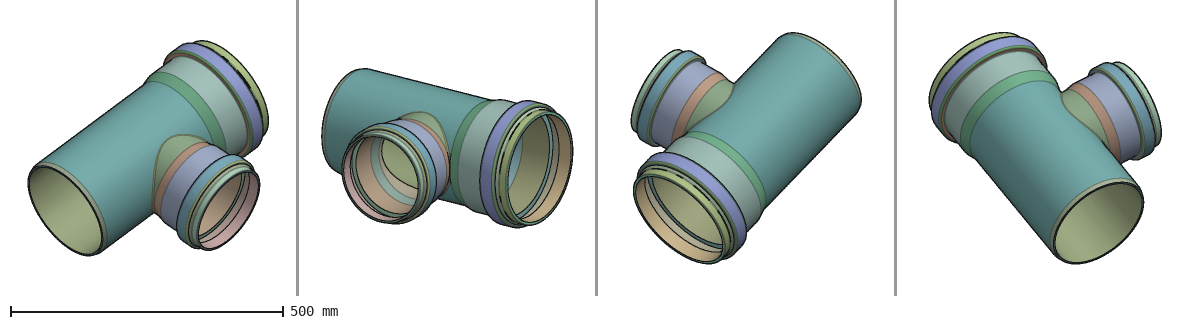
import cadquery as cq
pipe_diameter = 200.3
pipe_bore = 188.4
pipe_length = 421.0
spigot_chamfer_length = 8.5
spigot_chamfer_depth = 2.5

branch_diameter = 161.5
branch_bore = 150.5
branch_length = 211.0
branch_origin_y = 203.8
branch_lean = 2.5
joint_fillet = 2.5

collar_root_fillet = 1.0
rim_root_fillet = 2.4
mouth_fillet = 1.0
match_tolerance = 0.01

main_socket = {
    "tube": pipe_diameter,
    "tube_bore": pipe_bore,
    "sleeve": 212.7,
    "sleeve_bore": 201.5,
    "collar": 234.2,
    "groove": 223.0,
    "rim": 214.5,
    "rim_bore": 202.7,
    "taper_start": 289.5,
    "taper_end": 312.1,
    "collar_start": 367.0,
    "collar_end": 399.2,
    "collar_fillet": 4.0,
    "cone_base": 221.4,
    "rim_start": 405.5,
    "mouth": pipe_length,
}

branch_socket = {
    "tube": branch_diameter,
    "tube_bore": branch_bore,
    "sleeve": 170.5,
    "sleeve_bore": 161.5,
    "collar": 187.7,
    "groove": 179.4,
    "rim": 171.9,
    "rim_bore": 162.9,
    "taper_start": 100.9,
    "taper_end": 120.0,
    "collar_start": 166.0,
    "collar_end": 192.9,
    "collar_fillet": 3.0,
    "cone_base": 177.4,
    "rim_start": 199.0,
    "mouth": branch_length,
}


def revolve_profile(profile):
    """Revolve a closed (radius, station) profile about the Y axis."""
    return profile.close().revolve(360, (0, 0, 0), (0, 1, 0))


def round_ring(body, diameter, station, radius):
    """Fillet the circular edge of the given diameter that lies at a station along Y."""
    def is_ring(edge):
        return (
            edge.geomType() == "CIRCLE"
            and abs(edge.radius() - diameter / 2) < match_tolerance
            and abs(edge.Center().y - station) < match_tolerance
        )

    rings = [edge for edge in body.edges().vals() if is_ring(edge)]
    return body.newObject(rings).fillet(radius)


def outer_body(s, tube_profile):
    """Outside of a tube that ends in a collared socket; tube_profile starts at the tube end."""
    body = revolve_profile(
        tube_profile
        .lineTo(s["tube"] / 2, s["taper_start"])
        .lineTo(s["sleeve"] / 2, s["taper_end"])
        .lineTo(s["sleeve"] / 2, s["collar_start"])
        .lineTo(s["collar"] / 2, s["collar_start"])
        .lineTo(s["collar"] / 2, s["collar_end"])
        .lineTo(s["cone_base"] / 2, s["collar_end"])
        .lineTo(s["rim"] / 2, s["rim_start"])
        .lineTo(s["rim"] / 2, s["mouth"])
        .lineTo(0, s["mouth"])
    )
    body = round_ring(body, s["collar"], s["collar_start"], s["collar_fillet"])
    body = round_ring(body, s["collar"], s["collar_end"], s["collar_fillet"])
    body = round_ring(body, s["sleeve"], s["collar_start"], collar_root_fillet)
    body = round_ring(body, s["rim"], s["rim_start"], rim_root_fillet)
    return round_ring(body, s["rim"], s["mouth"], mouth_fillet)


def inner_cavity(s):
    """Bore of the tube, widened into the sleeve, the seal groove and the mouth."""
    collar_wall = (s["collar"] - s["groove"]) / 2
    groove_start = s["collar_start"] + collar_wall
    groove_end = s["collar_end"] - collar_wall
    return revolve_profile(
        cq.Workplane("XY")
        .moveTo(0, 0)
        .lineTo(s["tube_bore"] / 2, 0)
        .lineTo(s["tube_bore"] / 2, s["taper_start"])
        .lineTo(s["sleeve_bore"] / 2, s["taper_end"])
        .lineTo(s["sleeve_bore"] / 2, groove_start)
        .lineTo(s["groove"] / 2, groove_start)
        .lineTo(s["groove"] / 2, groove_end)
        .lineTo(s["rim_bore"] / 2, groove_end)
        .lineTo(s["rim_bore"] / 2, s["mouth"])
        .lineTo(0, s["mouth"])
    )


def place_branch(body):
    """Turn a body built along +Y to the branch direction and move it to the branch origin."""
    turn = branch_lean - 90
    return body.rotate((0, 0, 0), (0, 0, 1), turn).translate((0, branch_origin_y, 0))


def main_body():
    """Outside of the main pipe with its chamfered spigot."""
    tube_profile = (
        cq.Workplane("XY")
        .moveTo(0, 0)
        .lineTo(pipe_diameter / 2 - spigot_chamfer_depth, 0)
        .lineTo(pipe_diameter / 2, spigot_chamfer_length)
    )
    return outer_body(main_socket, tube_profile)


def branch_body():
    """Outside of the branch, starting on the main pipe axis."""
    tube_profile = cq.Workplane("XY").moveTo(0, 0).lineTo(branch_diameter / 2, 0)
    return place_branch(outer_body(branch_socket, tube_profile))


def plain_cylinder(diameter, start, end):
    """Cylinder along the Y axis between two stations."""
    return cq.Workplane("XZ", origin=(0, start, 0)).circle(diameter / 2).extrude(start - end)


def filleted_joint():
    """Plain lengths of the two tubes with a fillet around the curve where they meet.

    Both lengths reach into the socket flares, which swallow the fillet where it touches them.
    """
    main_tube = plain_cylinder(pipe_diameter, spigot_chamfer_length, main_socket["taper_end"])
    branch_tube = place_branch(plain_cylinder(branch_diameter, 0, branch_socket["taper_end"]))
    joint_region = cq.selectors.BoxSelector(
        (0, branch_origin_y - branch_diameter, -branch_diameter),
        (pipe_diameter / 2 + joint_fillet, main_socket["taper_end"] - joint_fillet, branch_diameter),
    )
    return main_tube.union(branch_tube).edges(joint_region).fillet(joint_fillet)


body = filleted_joint().union(main_body()).union(branch_body())
result = body.cut(inner_cavity(main_socket)).cut(place_branch(inner_cavity(branch_socket)))